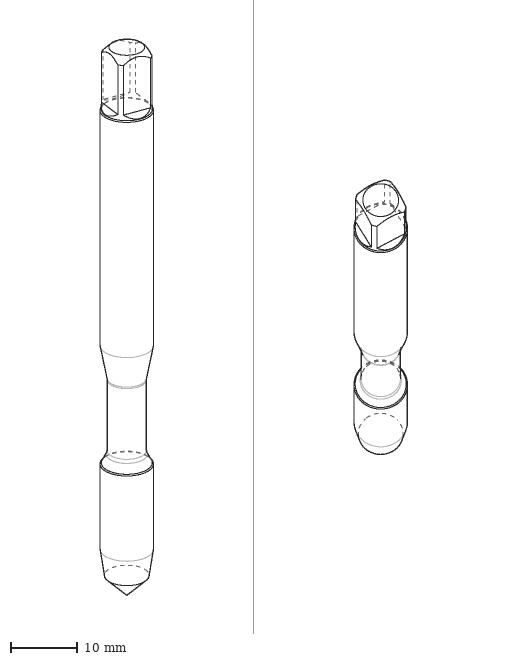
import cadquery as cq

LENGTH = 93.25
SHANK_TOP = 82.5
TAPER_TOP = 42.5
NECK_TOP = 36.8
NECK_BOTTOM = 24.3
HEAD_TOP = 22.6

SHANK_DIAMETER = 8.1
NECK_DIAMETER = 6.0
DRIVE_DIAMETER = 7.7
DRIVE_TOP_DIAMETER = 5.4

NECK_FILLET = 1.4

SQUARE_WIDTH = 6.1
SQUARE_BOTTOM = 83.6

LEAD_LENGTH = 4.5
LEAD_END_DIAMETER = 6.8

shank_radius = SHANK_DIAMETER / 2
neck_radius = NECK_DIAMETER / 2
drive_radius = DRIVE_DIAMETER / 2
drive_top_radius = DRIVE_TOP_DIAMETER / 2
lead_end_radius = LEAD_END_DIAMETER / 2
edge_chamfer = shank_radius - drive_radius
drive_chamfer = drive_radius - drive_top_radius
point_height = lead_end_radius
lead_top = point_height + LEAD_LENGTH


def revolve_profile(points):
    """Turn a closed (radius, height) outline about the Z axis."""
    return cq.Workplane("XZ").polyline(points).close().revolve(360, (0, 0, 0), (0, 1, 0))


def make_flat_cutter():
    """Material outside the +X flat of the square, ending in a 45 degree run-out."""
    flat = SQUARE_WIDTH / 2
    outside = SHANK_DIAMETER
    outline = [
        (flat, LENGTH),
        (flat, SQUARE_BOTTOM),
        (outside, SQUARE_BOTTOM - (outside - flat)),
        (outside, LENGTH),
    ]
    return cq.Workplane("XZ").polyline(outline).close().extrude(SHANK_DIAMETER / 2, both=True)


def make_shank():
    """Shank with a square drive on top and a flared neck below."""
    shank = revolve_profile([
        (0, HEAD_TOP),
        (drive_radius, HEAD_TOP),
        (neck_radius, NECK_BOTTOM),
        (neck_radius, NECK_TOP),
        (shank_radius, TAPER_TOP),
        (shank_radius, SHANK_TOP),
        (drive_radius, SHANK_TOP + edge_chamfer),
        (drive_radius, LENGTH - drive_chamfer),
        (drive_top_radius, LENGTH),
        (0, LENGTH),
    ])
    neck_ends = cq.selectors.BoxSelector(
        (-SHANK_DIAMETER, -SHANK_DIAMETER, NECK_BOTTOM - NECK_FILLET / 2),
        (SHANK_DIAMETER, SHANK_DIAMETER, NECK_TOP + NECK_FILLET / 2),
    )
    shank = shank.edges("%CIRCLE").edges(neck_ends).fillet(NECK_FILLET)
    cutter = make_flat_cutter()
    for angle in (0, 90, 180, 270):
        shank = shank.cut(cutter.rotate((0, 0, 0), (0, 0, 1), angle))
    return shank


def make_cutting_head():
    """Cylindrical head with a chamfered top, a tapered lead and a conical point."""
    return revolve_profile([
        (0, 0),
        (lead_end_radius, point_height),
        (shank_radius, lead_top),
        (shank_radius, HEAD_TOP - edge_chamfer),
        (drive_radius, HEAD_TOP),
        (0, HEAD_TOP),
    ])


shank = make_shank()
cutting_head = make_cutting_head()

result = cq.Compound.makeCompound([shank.val(), cutting_head.val()])